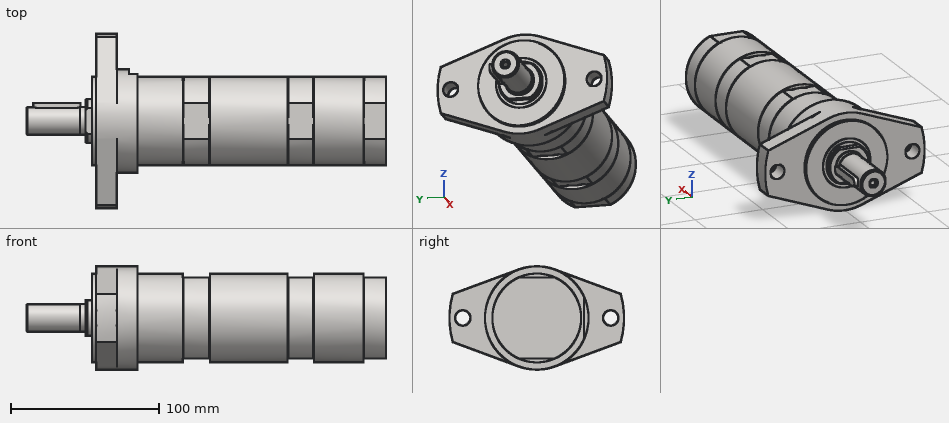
import cadquery as cq
import math

TOTAL_LENGTH = 243.0
NECK_START = 36.2
COLLAR_START = 39.9
PILOT_START = 44.2
FLANGE_START = 47.1
FLANGE_END = 61.2
HUB_END = 75.0

BODY_DIAMETER = 60.0
HUB_DIAMETER = 70.0
ACROSS_BODY_FLATS = 55.0
FLAT_RANGES = [(105.7, 124.0), (176.5, 194.2), (227.7, TOTAL_LENGTH)]
GROOVE_DIAMETER = 55.2
GROOVE_WIDTH = 0.5

HUB_FLAT_HEIGHT = 31.8
HUB_FLAT_START = 69.5

FLANGE_LENGTH = 118.0
TANGENT_OFFSET = 12.2
BOLT_SPACING = 99.9
BOLT_DIAMETER = 10.2

SHAFT_DIAMETER = 18.7
NECK_DIAMETER = 19.0
SHAFT_CHAMFER = 1.0
COLLAR_DIAMETER = 30.0
COLLAR_CHAMFER_DEPTH = 0.7
COLLAR_CHAMFER_LENGTH = 1.5
ACROSS_COLLAR_FLATS = 24.0
COLLAR_MOUTH_DIAMETER = 20.0

KEY_START = 4.5
KEY_LENGTH = 32.0
KEY_WIDTH = 6.0
KEY_TOP = 12.2

END_HOLE_DIAMETER = 4.0
END_HOLE_DEPTH = 12.2
COUNTERSINK_DIAMETER = 6.3
COUNTERSINK_ANGLE = 90
DRILL_TIP_ANGLE = 118

RECESS_DIAMETER = 35.0
RECESS_DEPTH = 0.2
RECESS_FLOOR = PILOT_START + RECESS_DEPTH


def cylinder(start, end, diameter):
    """Solid cylinder on the X axis."""
    return cq.Workplane("YZ").workplane(offset=start).circle(diameter / 2).extrude(end - start)


def flatted(solid, start, end, across_flats):
    """Cut parallel flats on the +Z and -Z sides of a solid between two X positions."""
    depth = HUB_DIAMETER
    for side in (1, -1):
        cutter = cq.Workplane("XY").box(end - start, 2 * HUB_DIAMETER, depth).translate(
            ((start + end) / 2, 0, side * (across_flats + depth) / 2)
        )
        solid = solid.cut(cutter)
    return solid


def ring(start, end, outer_diameter, inner_diameter):
    """Ring around the X axis."""
    return cylinder(start, end, outer_diameter).cut(cylinder(start, end, inner_diameter))


def make_body():
    """Round body with flats; a narrow groove marks each shoulder of a flatted stretch."""
    body = cylinder(PILOT_START, TOTAL_LENGTH, BODY_DIAMETER)
    for start, end in FLAT_RANGES:
        body = flatted(body, start, end, ACROSS_BODY_FLATS)
        body = body.cut(ring(start, start + GROOVE_WIDTH, HUB_DIAMETER, GROOVE_DIAMETER))
        if end < TOTAL_LENGTH:
            body = body.cut(ring(end - GROOVE_WIDTH, end, HUB_DIAMETER, GROOVE_DIAMETER))
    return body


def make_hub():
    hub = cylinder(FLANGE_START, HUB_END, HUB_DIAMETER)
    flat_length = HUB_END - HUB_FLAT_START
    cutter = cq.Workplane("XY").box(flat_length, HUB_DIAMETER, HUB_DIAMETER).translate(
        (HUB_FLAT_START + flat_length / 2, HUB_FLAT_HEIGHT + HUB_DIAMETER / 2, 0)
    )
    return hub.cut(cutter)


def make_flange():
    """Lozenge plate: sides tangent to the hub, ends rounded about the X axis."""
    hub_radius = HUB_DIAMETER / 2
    tangent_height = math.sqrt(hub_radius**2 - TANGENT_OFFSET**2)
    apex_offset = hub_radius**2 / TANGENT_OFFSET
    apex_height = hub_radius**2 / tangent_height
    thickness = FLANGE_END - FLANGE_START
    lozenge = (
        cq.Workplane("YZ")
        .workplane(offset=FLANGE_START)
        .polyline([(apex_offset, 0), (0, apex_height), (-apex_offset, 0), (0, -apex_height)])
        .close()
        .extrude(thickness)
    )
    ends = cylinder(FLANGE_START, FLANGE_END, FLANGE_LENGTH)
    crown = (
        cq.Workplane("YZ")
        .workplane(offset=FLANGE_START)
        .rect(FLANGE_LENGTH, 2 * tangent_height)
        .extrude(thickness)
    )
    bolts = (
        cq.Workplane("YZ")
        .workplane(offset=FLANGE_START)
        .pushPoints([(-BOLT_SPACING / 2, 0), (BOLT_SPACING / 2, 0)])
        .circle(BOLT_DIAMETER / 2)
        .extrude(thickness)
    )
    return lozenge.intersect(ends).intersect(crown).cut(bolts)


def make_collar():
    """Chamfered collar with two flats and a bevelled mouth around the shaft neck."""
    radius = COLLAR_DIAMETER / 2
    neck_radius = NECK_DIAMETER / 2
    mouth_radius = COLLAR_MOUTH_DIAMETER / 2
    mouth_depth = mouth_radius - neck_radius
    collar = (
        cq.Workplane("XY")
        .moveTo(COLLAR_START, mouth_radius)
        .lineTo(COLLAR_START, radius - COLLAR_CHAMFER_DEPTH)
        .lineTo(COLLAR_START + COLLAR_CHAMFER_LENGTH, radius)
        .lineTo(RECESS_FLOOR, radius)
        .lineTo(RECESS_FLOOR, neck_radius)
        .lineTo(COLLAR_START + mouth_depth, neck_radius)
        .close()
        .revolve(360, (0, 0, 0), (1, 0, 0))
    )
    return flatted(collar, COLLAR_START, PILOT_START, ACROSS_COLLAR_FLATS)


def make_key():
    return (
        cq.Workplane("XZ")
        .center(KEY_START + KEY_LENGTH / 2, 0)
        .slot2D(KEY_LENGTH, KEY_WIDTH)
        .extrude(-KEY_TOP)
    )


def make_end_hole():
    hole_radius = END_HOLE_DIAMETER / 2
    mouth_radius = COUNTERSINK_DIAMETER / 2
    countersink_depth = (mouth_radius - hole_radius) / math.tan(math.radians(COUNTERSINK_ANGLE / 2))
    tip_length = hole_radius / math.tan(math.radians(DRILL_TIP_ANGLE / 2))
    return (
        cq.Workplane("XY")
        .lineTo(0, mouth_radius)
        .lineTo(countersink_depth, hole_radius)
        .lineTo(END_HOLE_DEPTH, hole_radius)
        .lineTo(END_HOLE_DEPTH + tip_length, 0)
        .close()
        .revolve(360, (0, 0, 0), (1, 0, 0))
    )


def make_shaft():
    shaft = cylinder(0, NECK_START, SHAFT_DIAMETER).faces("<X").chamfer(SHAFT_CHAMFER)
    neck = cylinder(NECK_START, RECESS_FLOOR, NECK_DIAMETER)
    return shaft.union(neck).union(make_key()).cut(make_end_hole())


def make_recess():
    return cylinder(PILOT_START, RECESS_FLOOR, RECESS_DIAMETER)


housing = make_body().union(make_hub()).union(make_flange()).cut(make_recess())
drive_end = make_collar().union(make_shaft())
result = housing.union(drive_end)